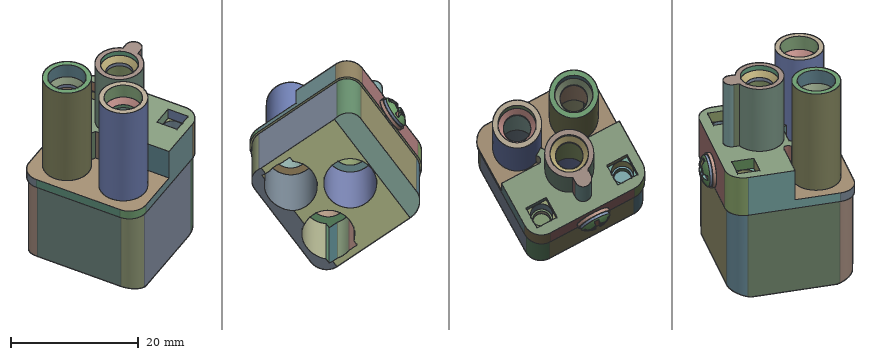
import cadquery as cq
import math

BODY_TOP = 15.6
FLANGE_TOP = 17.2
BLOCK_TOP = 22.65
REAR_TUBE_TOP = 34.25
FRONT_TUBE_TOP = 35.2

FLANGE_WIDTH = 21.0
FLANGE_CORNER = 3.0
BODY_WIDTH = 20.4
BODY_CORNER = FLANGE_CORNER - (FLANGE_WIDTH - BODY_WIDTH) / 2
BEVEL_RUN = 3.15
BEVEL_ANGLE = 20.0

BLOCK_FRONT_Y = -0.1
GROOVE_END = (3.8, BLOCK_FRONT_Y)
GROOVE_TIP = (3.28, -0.65)
GROOVE_MEETS_TUBE = (3.65, -1.4)
WEB_MEETS_TUBE = (2.35, -2.25)
WEB_CORNER = (1.95, -1.45)

TUBE_RADIUS = 3.85
FRONT_TUBE_X = 5.05
FRONT_TUBE_Y = -5.05
REAR_TUBE_Y = 2.8
BORE_RADIUS = 3.0
NECK_RADIUS = 2.15
NECK_LENGTH = 0.6
FUNNEL_HEIGHT = BORE_RADIUS - NECK_RADIUS
FRONT_BORE_DEPTH = 2.45
REAR_BORE_DEPTH = 0.85
ENTRY_RADIUS = 4.15
RELIEF_OUTER_X = 9.05
RELIEF_HALF_WIDTH = 2.69
KEY_RADIUS = 1.35
KEY_CENTRE_Y = 7.35

POCKET_X = 7.2
POCKET_Y = 7.0
POCKET_WIDTH = 3.6
POCKET_DEPTH = 1.85
POCKET_HOLE_RADIUS = 1.75
POCKET_HOLE_DEPTH = 4.0
POCKET_PILOT_RADIUS = 1.42
POCKET_PILOT_DEPTH = 2.0

SCREW_Z = 18.0
SCREW_TIP_Y = 12.3
COLLAR_RADIUS = 2.8
COLLAR_BACK_Y = FLANGE_WIDTH / 2 + 0.05
COLLAR_FRONT_Y = COLLAR_BACK_Y + 0.55
COLLAR_TAPER = 0.45
SCREW_ROOT_Y = BODY_WIDTH / 2 - 0.5
HEAD_RADIUS = 2.55
HEAD_RIM_Y = COLLAR_FRONT_Y + 0.45
HEAD_FLAT_RADIUS = 1.3
DOME_MID = (2.05, 11.95)
SLOT_WIDTH = 0.78
SLOT_DEPTH = 0.5


def cylinder(x, y, radius, bottom, top):
    return cq.Workplane("XY", origin=(x, y, bottom)).circle(radius).extrude(top - bottom)


def rounded_square(width, corner, bottom, top):
    blank = cq.Workplane("XY", origin=(0, 0, bottom)).rect(width, width).extrude(top - bottom)
    return blank.edges("|Z").fillet(corner)


def make_body():
    """Square housing below the flange, bevelled at the front and rear bottom edges."""
    half = BODY_WIDTH / 2
    rise = BEVEL_RUN * math.tan(math.radians(BEVEL_ANGLE))
    side_profile = (
        cq.Workplane("YZ", origin=(-half, 0, 0))
        .moveTo(-half + BEVEL_RUN, 0)
        .lineTo(half - BEVEL_RUN, 0)
        .lineTo(half, rise)
        .lineTo(half, BODY_TOP)
        .lineTo(-half, BODY_TOP)
        .lineTo(-half, rise)
        .close()
        .extrude(BODY_WIDTH)
    )
    return rounded_square(BODY_WIDTH, BODY_CORNER, 0, BODY_TOP).intersect(side_profile)


def mirrored(point):
    return (-point[0], point[1])


def make_flange_and_block():
    """Flange with the raised rear block, which reaches forward between the tubes."""
    half = FLANGE_WIDTH / 2
    block_plan = (
        cq.Workplane("XY", origin=(0, 0, FLANGE_TOP))
        .moveTo(half, half)
        .lineTo(half, BLOCK_FRONT_Y)
        .lineTo(*GROOVE_END)
        .threePointArc(GROOVE_TIP, GROOVE_MEETS_TUBE)
        .lineTo(*WEB_MEETS_TUBE)
        .lineTo(*WEB_CORNER)
        .lineTo(*mirrored(WEB_CORNER))
        .lineTo(*mirrored(WEB_MEETS_TUBE))
        .lineTo(*mirrored(GROOVE_MEETS_TUBE))
        .threePointArc(mirrored(GROOVE_TIP), mirrored(GROOVE_END))
        .lineTo(-half, BLOCK_FRONT_Y)
        .lineTo(-half, half)
        .close()
        .extrude(BLOCK_TOP - FLANGE_TOP)
    )
    flange = rounded_square(FLANGE_WIDTH, FLANGE_CORNER, BODY_TOP, FLANGE_TOP)
    block = rounded_square(FLANGE_WIDTH, FLANGE_CORNER, FLANGE_TOP, BLOCK_TOP).intersect(block_plan)
    return flange.union(block)


def make_key():
    """Rib behind the rear tube, as tall as the tube."""
    height = REAR_TUBE_TOP - BODY_TOP
    web_length = KEY_CENTRE_Y - REAR_TUBE_Y
    web = (
        cq.Workplane("XY", origin=(0, REAR_TUBE_Y + web_length / 2, BODY_TOP))
        .rect(2 * KEY_RADIUS, web_length)
        .extrude(height)
    )
    return web.union(cylinder(0, KEY_CENTRE_Y, KEY_RADIUS, BODY_TOP, REAR_TUBE_TOP))


def make_bore(x, y, tube_top, bore_depth):
    """Stepped contact passage: top bore, funnel, neck, lower bore and wide entry."""
    funnel_top = tube_top - bore_depth
    neck_top = funnel_top - FUNNEL_HEIGHT
    neck_bottom = neck_top - NECK_LENGTH
    profile = [
        (0, 0),
        (ENTRY_RADIUS, 0),
        (ENTRY_RADIUS, BODY_TOP),
        (BORE_RADIUS, BODY_TOP),
        (BORE_RADIUS, neck_bottom),
        (NECK_RADIUS, neck_bottom),
        (NECK_RADIUS, neck_top),
        (BORE_RADIUS, funnel_top),
        (BORE_RADIUS, tube_top),
        (0, tube_top),
    ]
    passage = cq.Workplane("XZ").polyline(profile).close().revolve(360, (0, 0, 0), (0, 1, 0))
    return passage.translate((x, y, 0))


def make_entry_reliefs():
    """Flat-sided reliefs squaring off the outer half of both front entries."""
    length = RELIEF_OUTER_X - FRONT_TUBE_X
    right = (
        cq.Workplane("XY", origin=(FRONT_TUBE_X + length / 2, FRONT_TUBE_Y, 0))
        .rect(length, 2 * RELIEF_HALF_WIDTH)
        .extrude(BODY_TOP)
    )
    return right.union(right.mirror("YZ"))


def make_pocket(x):
    """Square mouth leading into a stepped round hole."""
    mouth_floor = BLOCK_TOP - POCKET_DEPTH
    hole_floor = mouth_floor - POCKET_HOLE_DEPTH
    pilot_floor = hole_floor - POCKET_PILOT_DEPTH
    mouth = (
        cq.Workplane("XY", origin=(x, POCKET_Y, mouth_floor))
        .rect(POCKET_WIDTH, POCKET_WIDTH)
        .extrude(POCKET_DEPTH)
    )
    hole = cylinder(x, POCKET_Y, POCKET_HOLE_RADIUS, hole_floor, mouth_floor)
    pilot = cylinder(x, POCKET_Y, POCKET_PILOT_RADIUS, pilot_floor, hole_floor)
    return mouth.union(hole).union(pilot)


def make_screw():
    """Domed screw head and tapered collar along +Y, with a cross slot."""
    collar_root_radius = COLLAR_RADIUS - COLLAR_TAPER
    head = (
        cq.Workplane("XY")
        .moveTo(0, SCREW_ROOT_Y)
        .lineTo(collar_root_radius, SCREW_ROOT_Y)
        .lineTo(collar_root_radius, COLLAR_BACK_Y - COLLAR_TAPER)
        .lineTo(COLLAR_RADIUS, COLLAR_BACK_Y)
        .lineTo(COLLAR_RADIUS, COLLAR_FRONT_Y)
        .lineTo(HEAD_RADIUS, COLLAR_FRONT_Y)
        .lineTo(HEAD_RADIUS, HEAD_RIM_Y)
        .threePointArc(DOME_MID, (HEAD_FLAT_RADIUS, SCREW_TIP_Y))
        .lineTo(0, SCREW_TIP_Y)
        .close()
        .revolve(360, (0, 0, 0), (0, 1, 0))
    )
    slot_y = SCREW_TIP_Y - SLOT_DEPTH / 2
    slot = cq.Workplane("XY").box(2 * HEAD_RADIUS, SLOT_DEPTH, SLOT_WIDTH).translate((0, slot_y, 0))
    cross_slot = slot.union(slot.rotate((0, 0, 0), (0, 1, 0), 90))
    return head.cut(cross_slot).translate((0, 0, SCREW_Z))


tubes = [
    (-FRONT_TUBE_X, FRONT_TUBE_Y, FRONT_TUBE_TOP, FRONT_BORE_DEPTH),
    (FRONT_TUBE_X, FRONT_TUBE_Y, FRONT_TUBE_TOP, FRONT_BORE_DEPTH),
    (0, REAR_TUBE_Y, REAR_TUBE_TOP, REAR_BORE_DEPTH),
]

result = make_body().union(make_flange_and_block()).union(make_key())
for tube_x, tube_y, tube_top, _ in tubes:
    result = result.union(cylinder(tube_x, tube_y, TUBE_RADIUS, BODY_TOP, tube_top))
for tube_x, tube_y, tube_top, bore_depth in tubes:
    result = result.cut(make_bore(tube_x, tube_y, tube_top, bore_depth))
result = result.cut(make_entry_reliefs())
for pocket_x in (-POCKET_X, POCKET_X):
    result = result.cut(make_pocket(pocket_x))
result = result.union(make_screw())